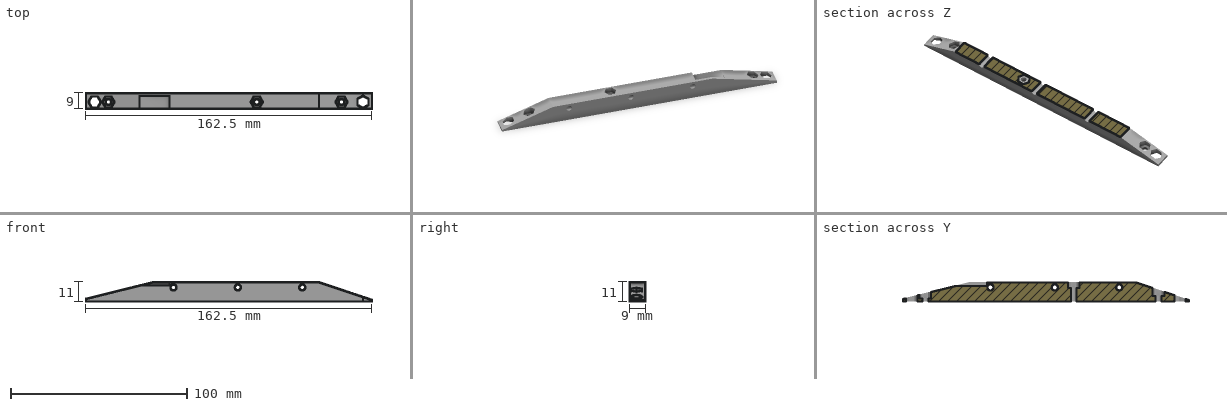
import cadquery as cq
import math

length = 162.5
width = 9.0
height = 11.0
left_tip_height = 1.6
right_tip_height = 1.0
left_ramp_end = 38.0
right_ramp_start = 132.5

pocket_start = 30.5
pocket_end = 47.6
pocket_depth = 2.0
pocket_width = 7.3

hole_diameter = 3.2
middle_cross_hole_x = 86.3
cross_hole_pitch = 36.5
cross_hole_z = 8.1

hex_across_flats = 6.0
hex_across_corners = hex_across_flats / math.cos(math.pi / 6)
hex_row_y = 3.9
through_hex_left_x = 5.0
through_hex_right_x = 157.3
nut_seats = [(12.8, 2.0), (97.0, 8.0), (145.1, 3.2)]


def make_beam():
    return (
        cq.Workplane("XZ")
        .moveTo(0, 0)
        .lineTo(length, 0)
        .lineTo(length, right_tip_height)
        .lineTo(right_ramp_start, height)
        .lineTo(left_ramp_end, height)
        .lineTo(0, left_tip_height)
        .close()
        .extrude(-width)
    )


def make_pocket():
    return cq.Workplane("XY").box(
        pocket_end - pocket_start, pocket_width, pocket_depth, centered=False
    ).translate((pocket_start, 0, height - pocket_depth))


def make_cross_hole(x):
    return (
        cq.Workplane("XZ")
        .center(x, cross_hole_z)
        .circle(hole_diameter / 2)
        .extrude(-width)
    )


def make_hex(x, floor, turn=0):
    """Vertical hexagonal prism from the floor up; corners lie along X before the turn."""
    prism = cq.Workplane("XY").polygon(6, hex_across_corners).extrude(height - floor)
    return prism.rotate((0, 0, 0), (0, 0, 1), turn).translate((x, hex_row_y, floor))


def make_screw_hole(x):
    return cq.Workplane("XY").center(x, hex_row_y).circle(hole_diameter / 2).extrude(height)


result = make_beam().cut(make_pocket())

for step in (-1, 0, 1):
    result = result.cut(make_cross_hole(middle_cross_hole_x + step * cross_hole_pitch))

result = result.cut(make_hex(through_hex_left_x, 0))
result = result.cut(make_hex(through_hex_right_x, 0, turn=30))

for seat_x, seat_floor in nut_seats:
    result = result.cut(make_hex(seat_x, seat_floor)).cut(make_screw_hole(seat_x))